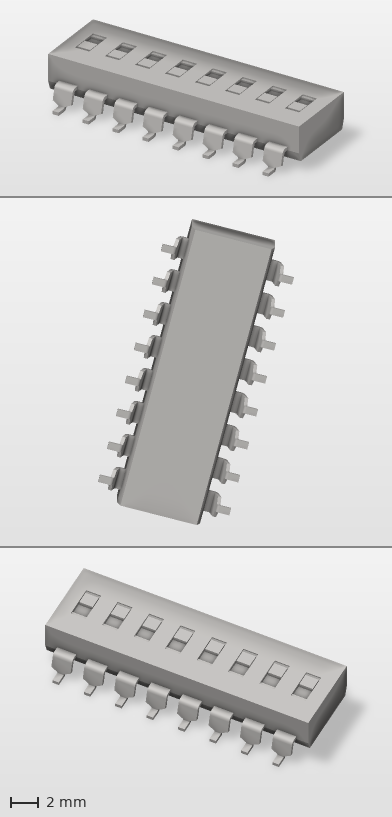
import cadquery as cq
import math

body_length = 21.26
body_width = 6.2
overall_height = 3.7
lead_span = 9.8

standoff = 0.75
parting_height = 1.5
taper_inset = 0.25

switch_count = 8
pitch = 2.54

window_width = 1.2
window_length = 2.5
ledge_depth = 0.1
ledge_length = 0.25
slide_depth = 0.3
actuator_gap = 0.06

lead_thickness = 0.27
lead_width = 1.55
foot_width = 0.52
lead_top = 1.78
lead_lean = math.radians(14)
shoulder_reach = 0.645
shoulder_inner_radius = 0.1
foot_top_radius = 0.06
foot_bottom_radius = 0.2
neck_top = 0.6
neck_bottom = 0.35

switch_positions = [(i - (switch_count - 1) / 2) * pitch for i in range(switch_count)]


def box(width, length, bottom, top, y_centre=0):
    """Box centred on X = 0 between two heights."""
    return (
        cq.Workplane("XY", origin=(0, y_centre, bottom))
        .rect(width, length)
        .extrude(top - bottom)
    )


def make_body():
    half_top = body_width / 2
    half_bottom = half_top - taper_inset
    section = [
        (-half_bottom, standoff),
        (half_bottom, standoff),
        (half_top, parting_height),
        (half_top, overall_height),
        (-half_top, overall_height),
        (-half_top, parting_height),
    ]
    return cq.Workplane("YZ").polyline(section).close().extrude(body_length / 2, both=True)


def make_window():
    """Stepped window: a shallow recess with a deeper slideway between two end ledges."""
    slide_length = window_length - 2 * ledge_length
    recess = box(window_width, window_length, overall_height - ledge_depth, overall_height)
    slideway = box(window_width, slide_length, overall_height - slide_depth, overall_height)
    return recess.union(slideway)


def make_actuator():
    """Actuator filling the -Y half of the slideway, flush with the body top."""
    length = window_length / 2 - ledge_length
    width = window_width - 2 * actuator_gap
    return box(width, length, overall_height - slide_depth, overall_height, -length / 2)


def make_lead():
    """Lead on the +Y side, centred on X = 0."""
    slope = math.tan(lead_lean)
    side = body_width / 2
    tip = lead_span / 2
    lead_under = lead_top - lead_thickness

    outer_shoulder_y = side + shoulder_reach
    leg_thickness_y = lead_thickness / math.cos(lead_lean)

    def outer_leg_y(z):
        return outer_shoulder_y + (lead_top - z) * slope

    outer_shoulder = (outer_shoulder_y, lead_top)
    foot_top_corner = (outer_leg_y(lead_thickness), lead_thickness)
    foot_bottom_corner = (outer_leg_y(0) - leg_thickness_y, 0)
    inner_shoulder = (outer_leg_y(lead_under) - leg_thickness_y, lead_under)
    strip = (
        cq.Workplane("YZ")
        .polyline([
            (side, lead_top),
            outer_shoulder,
            foot_top_corner,
            (tip, lead_thickness),
            (tip, 0),
            foot_bottom_corner,
            inner_shoulder,
            (side, lead_under),
        ])
        .close()
        .extrude(lead_width / 2, both=True)
    )
    bends = [
        (outer_shoulder, shoulder_inner_radius + lead_thickness),
        (inner_shoulder, shoulder_inner_radius),
        (foot_top_corner, foot_top_radius),
        (foot_bottom_corner, foot_bottom_radius),
    ]
    for (y, z), radius in bends:
        strip = strip.edges(cq.selectors.NearestToPointSelector((0, y, z))).fillet(radius)

    leg_plane = cq.Plane(
        origin=(0, *outer_shoulder),
        xDir=(1, 0, 0),
        normal=(0, math.cos(lead_lean), math.sin(lead_lean)),
    )
    neck_start = (lead_top - neck_top) / math.cos(lead_lean)
    neck_end = (lead_top - neck_bottom) / math.cos(lead_lean)
    half_lead = lead_width / 2
    half_foot = foot_width / 2
    outline = (
        cq.Workplane(leg_plane)
        .polyline([
            (-half_lead, -lead_span),
            (half_lead, -lead_span),
            (half_lead, neck_start),
            (half_foot, neck_end),
            (half_foot, lead_span),
            (-half_foot, lead_span),
            (-half_foot, neck_end),
            (-half_lead, neck_start),
        ])
        .close()
        .extrude(lead_span, both=True)
    )
    return strip.intersect(outline)


window = make_window()
actuator = make_actuator()
lead = make_lead()
opposite_lead = lead.mirror("XZ")

result = make_body()
for x in switch_positions:
    offset = (x, 0, 0)
    result = result.cut(window.translate(offset))
    for feature in (actuator, lead, opposite_lead):
        result = result.union(feature.translate(offset))